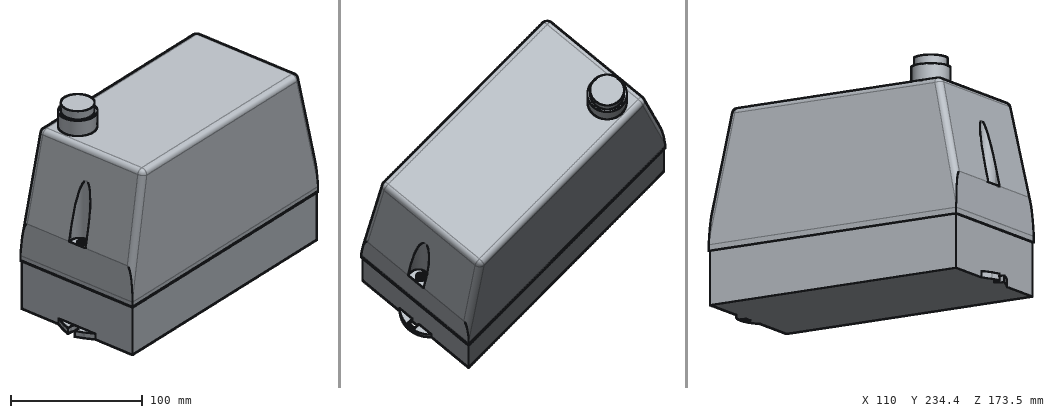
import cadquery as cq
import math

base_width = 108.5
base_length = 221.0
base_height = 42.5

overall_length = 234.4
tab_thickness = 5.2
tab_slot_width = 6.5
round_tab_radius = 23.5
round_tab_slot_end = 115.0
angled_tab_root_half_width = 18.3
angled_tab_corner_x = 10.0
angled_tab_corner_y = 114.5
angled_tab_notch_center_y = 114.0

rim_width = 110.0
rim_length = 222.5
rim_height = 4.7
cover_top_z = 152.8
wall_draft = 2.0
shoulder_z = 76.6
steep_end_top_half_length = 93.7
cover_edge_radius = 5.0

pocket_radius = 8.0
pocket_inner_y = 99.1
screw_y = 104.8
screw_radius = 3.5
screw_recess_depth = 0.5
cross_length = 4.2
cross_width = 1.2
cross_depth = 1.9

button_x = -30.2
button_y = -72.7
collar_radius = 15.0
collar_top_z = 166.2
cap_radius = 13.0
cap_top_z = 173.5

rim_top_z = base_height + rim_height
wall_rise = cover_top_z - rim_top_z
wall_inset = wall_rise * math.tan(math.radians(wall_draft))
shoulder_inset = (shoulder_z - rim_top_z) * math.tan(math.radians(wall_draft))
shoulder_half_length = rim_length / 2 - shoulder_inset
steep_end_slope = (shoulder_half_length - steep_end_top_half_length) / (cover_top_z - shoulder_z)
steep_end_bottom_half_length = steep_end_top_half_length + wall_rise * steep_end_slope


def block(width, length, bottom_z, top_z):
    """Upright rectangular block centred on the Z axis."""
    return cq.Workplane("XY").workplane(offset=bottom_z).rect(width, length).extrude(top_z - bottom_z)


def disk(x, y, radius, bottom_z, top_z):
    """Upright cylinder."""
    return cq.Workplane("XY").workplane(offset=bottom_z).center(x, y).circle(radius).extrude(top_z - bottom_z)


def trapezoid_prism(plane, bottom_half, top_half, length):
    """Trapezoid from the rim to the cover top, extruded symmetrically about its plane."""
    return (
        cq.Workplane(plane)
        .moveTo(-bottom_half, rim_top_z)
        .lineTo(bottom_half, rim_top_z)
        .lineTo(top_half, cover_top_z)
        .lineTo(-top_half, cover_top_z)
        .close()
        .extrude(length / 2, both=True)
    )


def round_tab():
    """Rounded tab on the +Y end, with a rectangular slot against the base wall."""
    wall_y = base_length / 2
    arc_center_y = overall_length / 2 - round_tab_radius
    tab = disk(0, arc_center_y, round_tab_radius, 0, tab_thickness)
    slot_length = round_tab_slot_end - wall_y
    slot = block(tab_slot_width, slot_length, 0, tab_thickness)
    return tab.cut(slot.translate((0, wall_y + slot_length / 2, 0)))


def angled_tab():
    """Straight-sided tab on the -Y end, with an open round-ended notch."""
    wall_y = -base_length / 2
    tip_y = -overall_length / 2
    tip_half_width = tab_slot_width / 2
    tab = (
        cq.Workplane("XY")
        .moveTo(-angled_tab_root_half_width, wall_y)
        .lineTo(-angled_tab_corner_x, -angled_tab_corner_y)
        .lineTo(-tip_half_width, tip_y)
        .lineTo(tip_half_width, tip_y)
        .lineTo(angled_tab_corner_x, -angled_tab_corner_y)
        .lineTo(angled_tab_root_half_width, wall_y)
        .close()
        .extrude(tab_thickness)
    )
    notch_depth = overall_length / 2 - angled_tab_notch_center_y
    notch = block(tab_slot_width, notch_depth, 0, tab_thickness).translate((0, tip_y + notch_depth / 2, 0))
    notch_end = disk(0, -angled_tab_notch_center_y, tab_slot_width / 2, 0, tab_thickness)
    return tab.cut(notch).cut(notch_end)


def make_base():
    """Rectangular base with a mounting tab at each end."""
    box = block(base_width, base_length, 0, base_height)
    return box.union(round_tab()).union(angled_tab())


def cover_shell():
    """Rim and tapered hood; the rounded steep ends run out into the near-upright lower ends."""
    cross_section = trapezoid_prism("XZ", rim_width / 2, rim_width / 2 - wall_inset, 2 * overall_length)
    steep_profile = trapezoid_prism("YZ", steep_end_bottom_half_length, steep_end_top_half_length, rim_width)
    upright_profile = trapezoid_prism("YZ", rim_length / 2, rim_length / 2 - wall_inset, rim_width)

    hood = cross_section.intersect(steep_profile)
    hood = hood.faces(">Z").edges().add(hood.edges("not #Z")).fillet(cover_edge_radius)
    rim = block(rim_width, rim_length, base_height, rim_top_z)
    return rim.union(hood.intersect(upright_profile))


def screw_pocket(end):
    """Round-backed pocket cut straight down to the shoulder, with a cross-slot screw head in its floor."""
    pocket_center_y = pocket_inner_y + pocket_radius
    open_length = overall_length / 2 - pocket_center_y
    pocket = disk(0, end * pocket_center_y, pocket_radius, shoulder_z, cover_top_z)
    opening = block(2 * pocket_radius, open_length, shoulder_z, cover_top_z)
    opening = opening.translate((0, end * (pocket_center_y + open_length / 2), 0))

    head_z = shoulder_z - screw_recess_depth
    head_recess = disk(0, end * screw_y, screw_radius, head_z, shoulder_z)
    cross = block(cross_length, cross_width, head_z - cross_depth, head_z)
    cross = cross.union(block(cross_width, cross_length, head_z - cross_depth, head_z))
    cross = cross.translate((0, end * screw_y, 0))
    return pocket.union(opening).union(head_recess).union(cross)


def push_button():
    """Stepped round button: a collar with a narrower cap."""
    collar = disk(button_x, button_y, collar_radius, cover_top_z, collar_top_z)
    cap = disk(button_x, button_y, cap_radius, collar_top_z, cap_top_z)
    return collar.union(cap)


def make_cover():
    """Cover with its two screw pockets and the push button."""
    cover = cover_shell()
    for end in (-1, 1):
        cover = cover.cut(screw_pocket(end))
    return cover.union(push_button())


base = make_base()
cover = make_cover()

result = cq.Compound.makeCompound([base.val(), cover.val()])